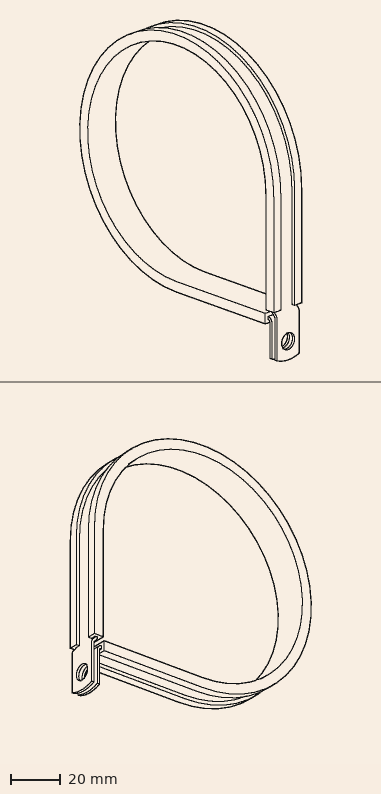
import cadquery as cq
import math

OUTER_RADIUS = 55.15
CUSHION_THICKNESS = 4.55
CUSHION_WIDTH = 15.75
LOWER_LEG_END_X = 50.25
UPRIGHT_LEG_END_Z = -49.0

GROOVE_WIDTH = 7.8
GROOVE_DEPTH = 1.6

STRAP_THICKNESS = 1.2
STRAP_WIDTH = 12.6
BEND_INNER_RADIUS = 1.0
OUTER_TAB_FACE_X = 55.36
JOG_ANGLE = 45
TAB_END_Z = -71.29
TAB_END_RISE = 1.25
HOLE_DIAMETER = 7.2
HOLE_Z = -63.24

INNER_RADIUS = OUTER_RADIUS - CUSHION_THICKNESS
STRAP_OUTER_RADIUS = OUTER_RADIUS - GROOVE_DEPTH
STRAP_INNER_RADIUS = STRAP_OUTER_RADIUS - STRAP_THICKNESS
BEND_OUTER_RADIUS = BEND_INNER_RADIUS + STRAP_THICKNESS
COS_45 = math.cos(math.radians(45))


def extrude_centred(profile, width):
    """Extrude an XZ profile equally to both sides of the Y = 0 plane."""
    return profile.extrude(width / 2, both=True)


def polar_point(centre, radius, degrees):
    """XZ point on a circle, with the angle counted from +X towards +Z."""
    angle = math.radians(degrees)
    return (centre[0] + radius * math.cos(angle), centre[1] + radius * math.sin(angle))


def band(outer_radius, inner_radius, width):
    """Teardrop band: vertical leg, 270 degree arc, horizontal leg."""
    outer_mid = -outer_radius * COS_45
    inner_mid = -inner_radius * COS_45
    profile = (
        cq.Workplane("XZ")
        .moveTo(outer_radius, UPRIGHT_LEG_END_Z)
        .lineTo(outer_radius, 0)
        .threePointArc((outer_mid, -outer_mid), (0, -outer_radius))
        .lineTo(LOWER_LEG_END_X, -outer_radius)
        .lineTo(LOWER_LEG_END_X, -inner_radius)
        .lineTo(0, -inner_radius)
        .threePointArc((inner_mid, -inner_mid), (inner_radius, 0))
        .lineTo(inner_radius, UPRIGHT_LEG_END_Z)
        .close()
    )
    return extrude_centred(profile, width)


def bent_tab():
    """Tab that turns down from the end of the lower leg through a rounded bend."""
    bend_z = -STRAP_OUTER_RADIUS - BEND_INNER_RADIUS
    inner_face_x = LOWER_LEG_END_X + BEND_INNER_RADIUS
    outer_face_x = LOWER_LEG_END_X + BEND_OUTER_RADIUS
    inner_mid = BEND_INNER_RADIUS * COS_45
    outer_mid = BEND_OUTER_RADIUS * COS_45
    profile = (
        cq.Workplane("XZ")
        .moveTo(LOWER_LEG_END_X, -STRAP_INNER_RADIUS)
        .threePointArc((LOWER_LEG_END_X + outer_mid, bend_z + outer_mid), (outer_face_x, bend_z))
        .lineTo(outer_face_x, TAB_END_Z)
        .lineTo(inner_face_x, TAB_END_Z)
        .lineTo(inner_face_x, bend_z)
        .threePointArc((LOWER_LEG_END_X + inner_mid, bend_z + inner_mid),
                       (LOWER_LEG_END_X, -STRAP_OUTER_RADIUS))
        .close()
    )
    return extrude_centred(profile, STRAP_WIDTH)


def jogged_tab():
    """Tab that steps outward below the upright leg through two rounded bends."""
    half_angle = JOG_ANGLE / 2
    slope = math.radians(JOG_ANGLE)
    bend_radii = BEND_INNER_RADIUS + BEND_OUTER_RADIUS
    slant_run = OUTER_TAB_FACE_X - STRAP_OUTER_RADIUS - bend_radii * (1 - math.cos(slope))
    jog_height = slant_run / math.tan(slope) + bend_radii * math.sin(slope)
    upper_centre = (STRAP_OUTER_RADIUS + BEND_INNER_RADIUS, UPRIGHT_LEG_END_Z)
    lower_centre = (OUTER_TAB_FACE_X - BEND_OUTER_RADIUS, UPRIGHT_LEG_END_Z - jog_height)

    def on_upper_bend(radius, degrees):
        return polar_point(upper_centre, radius, 180 + degrees)

    def on_lower_bend(radius, degrees):
        return polar_point(lower_centre, radius, degrees)

    inner_face_x = OUTER_TAB_FACE_X - STRAP_THICKNESS
    profile = (
        cq.Workplane("XZ")
        .moveTo(*on_upper_bend(BEND_INNER_RADIUS, 0))
        .threePointArc(on_upper_bend(BEND_INNER_RADIUS, half_angle),
                       on_upper_bend(BEND_INNER_RADIUS, JOG_ANGLE))
        .lineTo(*on_lower_bend(BEND_OUTER_RADIUS, JOG_ANGLE))
        .threePointArc(on_lower_bend(BEND_OUTER_RADIUS, half_angle),
                       on_lower_bend(BEND_OUTER_RADIUS, 0))
        .lineTo(OUTER_TAB_FACE_X, TAB_END_Z)
        .lineTo(inner_face_x, TAB_END_Z)
        .lineTo(*on_lower_bend(BEND_INNER_RADIUS, 0))
        .threePointArc(on_lower_bend(BEND_INNER_RADIUS, half_angle),
                       on_lower_bend(BEND_INNER_RADIUS, JOG_ANGLE))
        .lineTo(*on_upper_bend(BEND_OUTER_RADIUS, JOG_ANGLE))
        .threePointArc(on_upper_bend(BEND_OUTER_RADIUS, half_angle),
                       on_upper_bend(BEND_OUTER_RADIUS, 0))
        .close()
    )
    return extrude_centred(profile, STRAP_WIDTH)


def tab_envelope():
    """Block along X with the tabs' curved end and bolt hole."""
    half_width = STRAP_WIDTH / 2
    corner_z = TAB_END_Z + TAB_END_RISE
    return (
        cq.Workplane("YZ")
        .moveTo(-half_width, 0)
        .lineTo(-half_width, corner_z)
        .threePointArc((0, TAB_END_Z), (half_width, corner_z))
        .lineTo(half_width, 0)
        .close()
        .moveTo(0, HOLE_Z)
        .circle(HOLE_DIAMETER / 2)
        .extrude(OUTER_TAB_FACE_X)
    )


cushion = band(OUTER_RADIUS, INNER_RADIUS, CUSHION_WIDTH)
groove = band(OUTER_RADIUS, STRAP_OUTER_RADIUS, GROOVE_WIDTH)
tabs = bent_tab().union(jogged_tab()).intersect(tab_envelope())

result = cushion.cut(groove).union(tabs)